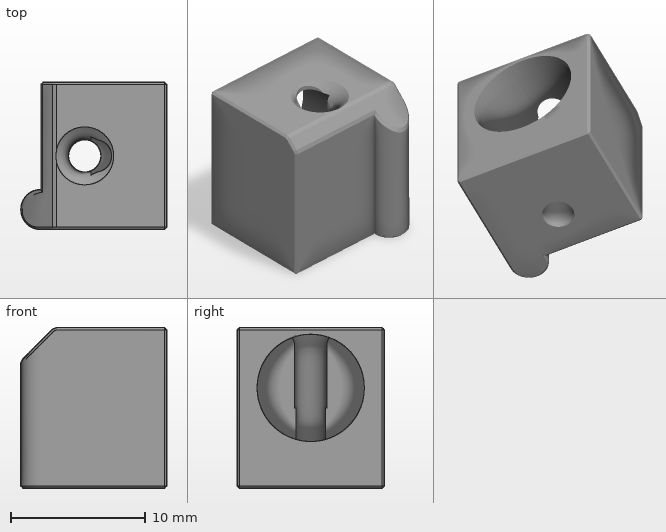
import cadquery as cq
import math

length = 10.9
width = 11.0
height = 12.0
rib_radius = 1.5
slope_size = 2.5
edge_chamfer = 0.18

hole_x = 4.78
hole_y = width / 2
hole_radius = 1.2
flare_angle = 45.0
flare_arc_radius = 1.85
mouth_radius = 2.16

bore_diameter = 8.0
bore_roof = 0.5
bore_start_x = 5.25
slot_end_x = 6.78


def make_body():
    """Block with a full-height half-round rib, a sloped top edge and broken edges."""
    outline = (
        cq.Workplane("XY")
        .moveTo(rib_radius, 0)
        .lineTo(length, 0)
        .lineTo(length, width)
        .lineTo(rib_radius, width)
        .lineTo(rib_radius, 2 * rib_radius)
        .threePointArc((0, rib_radius), (rib_radius, 0))
        .close()
    )
    slope = (
        cq.Workplane("XZ")
        .moveTo(0, height - slope_size)
        .lineTo(0, height)
        .lineTo(slope_size, height)
        .close()
        .extrude(-width)
    )
    body = outline.extrude(height).cut(slope)
    side_edges = body.edges("|Z").filter(
        lambda edge: edge.Center().x > rib_radius + 0.12 or edge.Center().y > width - 0.12
    )
    cap_edges = body.faces("|Z or <(-1,0,1) or >(-1,0,1)").edges()
    return side_edges.add(cap_edges).chamfer(edge_chamfer)


def make_flared_hole():
    """Through hole that widens along an arc and then a cone towards the top."""
    angle = math.radians(flare_angle)
    arc_end_radius = hole_radius + flare_arc_radius * (1 - math.cos(angle))
    arc_end_z = height - (mouth_radius - arc_end_radius) / math.tan(angle)
    arc_start_z = arc_end_z - flare_arc_radius * math.sin(angle)
    arc_middle = (
        hole_radius + flare_arc_radius * (1 - math.cos(angle / 2)),
        arc_start_z + flare_arc_radius * math.sin(angle / 2),
    )
    profile = (
        cq.Workplane("XZ")
        .lineTo(hole_radius, 0)
        .lineTo(hole_radius, arc_start_z)
        .threePointArc(arc_middle, (arc_end_radius, arc_end_z))
        .lineTo(mouth_radius, height)
        .lineTo(0, height)
        .close()
    )
    return profile.revolve(360, (0, 0, 0), (0, 1, 0)).translate((hole_x, hole_y, 0))


def make_bore():
    """Round blind bore that enters from the +X face."""
    return (
        cq.Workplane("YZ", origin=(bore_start_x, 0, 0))
        .center(width / 2, height - bore_roof - bore_diameter / 2)
        .circle(bore_diameter / 2)
        .extrude(length - bore_start_x)
    )


def make_slot():
    """Upright slot that stretches the hole towards +X and opens the flare into the bore."""
    slot_start_x = hole_x - hole_radius
    return (
        cq.Workplane("XY", origin=((slot_start_x + slot_end_x) / 2, hole_y, height / 2))
        .slot2D(slot_end_x - slot_start_x, 2 * hole_radius)
        .extrude(height / 2)
    )


result = make_body().cut(make_flared_hole()).cut(make_bore()).cut(make_slot())